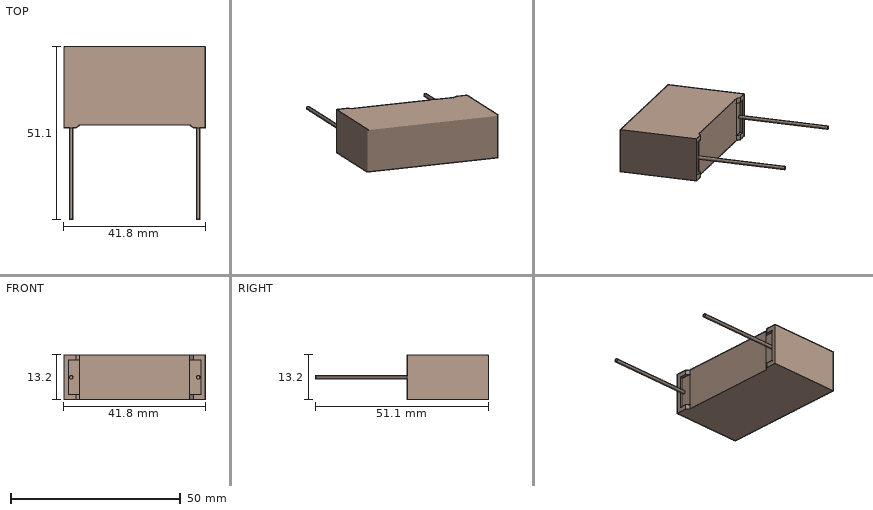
import cadquery as cq

case_length = 41.8
case_height = 13.25
case_depth = 24.1
total_depth = 51.1
back_edge_radius = 0.4

foot_length = 3.55
foot_base_length = 4.65
foot_rise = 0.8

end_wall = 1.4
side_wall = 1.55
back_wall = 1.55
front_bar_thickness = 1.55

lead_diameter = 1.0
lead_spacing = 37.5

back_y = total_depth / 2
foot_y = back_y - case_depth
step_y = foot_y + foot_rise
cavity_front_y = step_y + front_bar_thickness
cavity_back_y = back_y - back_wall
lead_tip_y = -total_depth / 2
half_length = case_length / 2
foot_inner_x = half_length - foot_length
foot_base_x = half_length - foot_base_length
cavity_half_length = half_length - end_wall
cavity_height = case_height - 2 * side_wall


def make_case_blank():
    """Solid outer shape: a box with a foot at each end and a rounded back rim."""
    return (
        cq.Workplane("XY")
        .workplane(offset=-case_height / 2)
        .polyline([
            (-half_length, back_y),
            (-half_length, foot_y),
            (-foot_inner_x, foot_y),
            (-foot_base_x, step_y),
            (foot_base_x, step_y),
            (foot_inner_x, foot_y),
            (half_length, foot_y),
            (half_length, back_y),
        ])
        .close()
        .extrude(case_height)
        .faces(">Y")
        .edges()
        .fillet(back_edge_radius)
    )


def make_block(x_min, x_max, y_min, y_max):
    """Box of the cavity height, centred on Z, between the given X and Y limits."""
    return (
        cq.Workplane("XY")
        .box(x_max - x_min, y_max - y_min, cavity_height, centered=(False, False, True))
        .translate((x_min, y_min, 0))
    )


def make_potting():
    """Fill of the case, reaching the front through a window on each side of the bar."""
    core = make_block(-cavity_half_length, cavity_half_length, cavity_front_y, cavity_back_y)
    left_pad = make_block(-cavity_half_length, -foot_base_x, step_y, cavity_front_y)
    right_pad = make_block(foot_base_x, cavity_half_length, step_y, cavity_front_y)
    return core.union(left_pad).union(right_pad)


def make_case(potting):
    """Case with a cavity matching the potting and an open recess in each foot."""
    left_recess = make_block(-cavity_half_length, -foot_base_x, foot_y, step_y)
    right_recess = make_block(foot_base_x, cavity_half_length, foot_y, step_y)
    return make_case_blank().cut(potting).cut(left_recess).cut(right_recess)


def make_lead(side):
    """Round wire from the potting surface to its tip; side is -1 or 1."""
    return (
        cq.Workplane("XZ", origin=(side * lead_spacing / 2, step_y, 0))
        .circle(lead_diameter / 2)
        .extrude(step_y - lead_tip_y)
    )


potting = make_potting()
case = make_case(potting)
leads = [make_lead(side) for side in (-1, 1)]

result = cq.Compound.makeCompound([case.val(), potting.val(), *[lead.val() for lead in leads]])